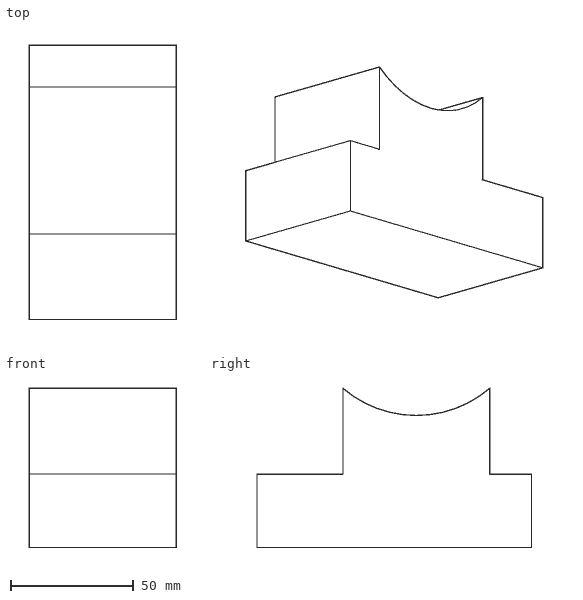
import cadquery as cq
import math

width_x = 60.0

base_length = 112.0
base_height = 30.0

front_ledge = 35.0
column_length = 60.0

cradle_radius = 46.0
cradle_axis_z = 100.0

column_front_y = front_ledge
column_back_y = front_ledge + column_length
cradle_axis_y = front_ledge + column_length / 2
cradle_bottom_z = cradle_axis_z - cradle_radius
column_top_z = cradle_axis_z - math.sqrt(cradle_radius**2 - (column_length / 2) ** 2)


def saddle_block():
    """Stepped side profile with the cradle arc on top, extruded along X."""
    return (
        cq.Workplane("YZ")
        .moveTo(0, 0)
        .lineTo(base_length, 0)
        .lineTo(base_length, base_height)
        .lineTo(column_back_y, base_height)
        .lineTo(column_back_y, column_top_z)
        .threePointArc((cradle_axis_y, cradle_bottom_z), (column_front_y, column_top_z))
        .lineTo(column_front_y, base_height)
        .lineTo(0, base_height)
        .close()
        .extrude(width_x)
    )


result = saddle_block()